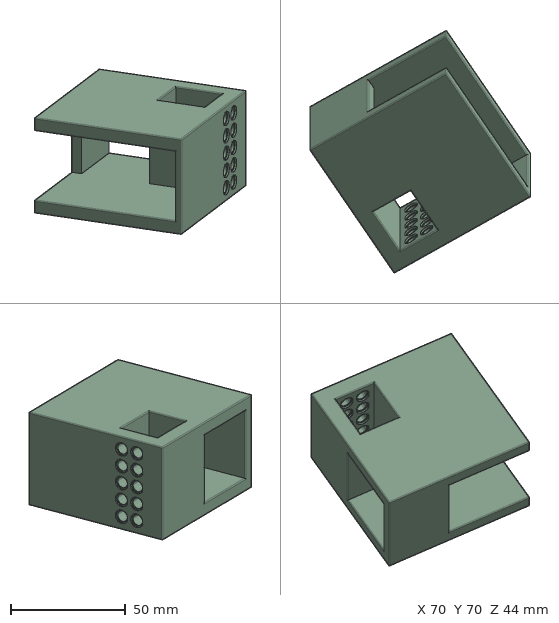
import cadquery as cq

LENGTH = 70.0
WIDTH = 70.0
HEIGHT = 44.0
EDGE_RADIUS = 0.5

PLATE = 6.0
THIN_WALL = 3.0
CAVITY_DEPTH = 40.0
CAVITY_HEIGHT = HEIGHT - 2 * PLATE
CAVITY_END = CAVITY_DEPTH - WIDTH / 2

PASSAGE_WALL = 5.0
PASSAGE_WIDTH = CAVITY_HEIGHT
PASSAGE_START = PASSAGE_WALL - LENGTH / 2
PASSAGE_END = PASSAGE_START + PASSAGE_WIDTH

SHAFT_OUTER_WALL = 8.0
SHAFT_X = (PASSAGE_END + THIN_WALL, LENGTH / 2 - SHAFT_OUTER_WALL)
SHAFT_Y = (CAVITY_END + THIN_WALL, WIDTH / 2 - SHAFT_OUTER_WALL)

PIN_DIAMETER = 5.0
PIN_RIM_DIAMETER = 6.3
PIN_RIM_DEPTH = 0.9
PIN_PITCH = 8.0
PIN_COLUMNS = 2
PIN_ROWS = 5


def box_between(x_range, y_range, z_range):
    """Box spanning the given (low, high) ranges."""
    sizes = [high - low for low, high in (x_range, y_range, z_range)]
    corner = (x_range[0], y_range[0], z_range[0])
    return cq.Workplane("XY").box(*sizes, centered=False).translate(corner)


def pin_cylinders(diameter, start_x, depth):
    """The whole grid of cylinders running along +X from start_x."""
    return (
        cq.Workplane("YZ", origin=(start_x, sum(SHAFT_Y) / 2, 0))
        .rarray(PIN_PITCH, PIN_PITCH, PIN_COLUMNS, PIN_ROWS)
        .circle(diameter / 2)
        .extrude(depth)
    )


cavity_z = (-CAVITY_HEIGHT / 2, CAVITY_HEIGHT / 2)
cavity = box_between(
    (-LENGTH / 2, LENGTH / 2 - THIN_WALL), (-WIDTH / 2, CAVITY_END), cavity_z
)
passage = box_between((PASSAGE_START, PASSAGE_END), (CAVITY_END, WIDTH / 2), cavity_z)
shaft = box_between(SHAFT_X, SHAFT_Y, (-HEIGHT / 2, HEIGHT / 2))

body = cq.Workplane("XY").box(LENGTH, WIDTH, HEIGHT).cut(cavity).cut(passage).cut(shaft)

body = (
    body.faces("<X or >X or <Y or >Y or <Z or >Z")
    .edges()
    .add(body.edges(cq.selectors.NearestToPointSelector((PASSAGE_END, CAVITY_END, 0))))
    .fillet(EDGE_RADIUS)
)

body = body.cut(pin_cylinders(PIN_DIAMETER, SHAFT_X[1], SHAFT_OUTER_WALL))
for rim_start in (SHAFT_X[1], LENGTH / 2 - PIN_RIM_DEPTH):
    body = body.cut(pin_cylinders(PIN_RIM_DIAMETER, rim_start, PIN_RIM_DEPTH))

result = body